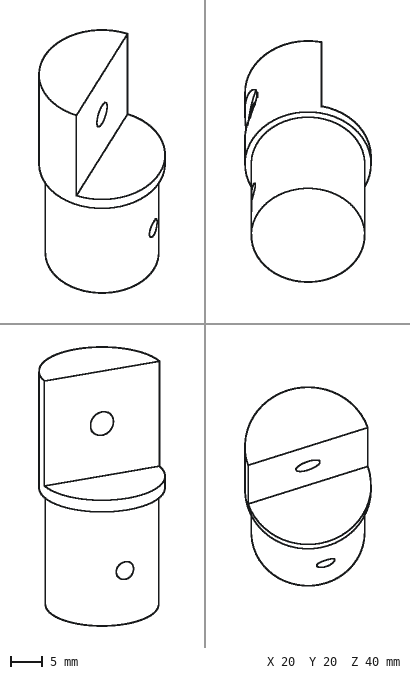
import cadquery as cq

total_height = 40.0
head_diameter = 20.0
shank_diameter = 18.0
shank_height = total_height / 2
flange_thickness = 2.0
screw_hole_diameter = 4.0
counterbore_diameter = 8.0
counterbore_depth = 1.0
screw_hole_z = 31.0
pin_hole_diameter = 3.0
pin_hole_z = 9.2

head_radius = head_diameter / 2
head_height = total_height - shank_height
flange_top = shank_height + flange_thickness


def cross_bore(diameter, z, length):
    """Cylinder along X that starts at the -X side of the head."""
    side_plane = cq.Plane(origin=(-head_radius, 0, z), xDir=(0, 1, 0), normal=(1, 0, 0))
    return cq.Workplane(side_plane).circle(diameter / 2).extrude(length)


shank = cq.Workplane("XY").circle(shank_diameter / 2).extrude(shank_height)
head = cq.Workplane("XY", origin=(0, 0, shank_height)).circle(head_radius).extrude(head_height)
body = shank.union(head)

half_cut = cq.Workplane("XY", origin=(0, 0, flange_top)).box(
    head_radius, head_diameter, total_height - flange_top, centered=(False, True, False)
)
body = body.cut(half_cut)

body = body.cut(cross_bore(screw_hole_diameter, screw_hole_z, head_diameter))
body = body.cut(cross_bore(counterbore_diameter, screw_hole_z, counterbore_depth))

result = body.cut(cross_bore(pin_hole_diameter, pin_hole_z, head_diameter))